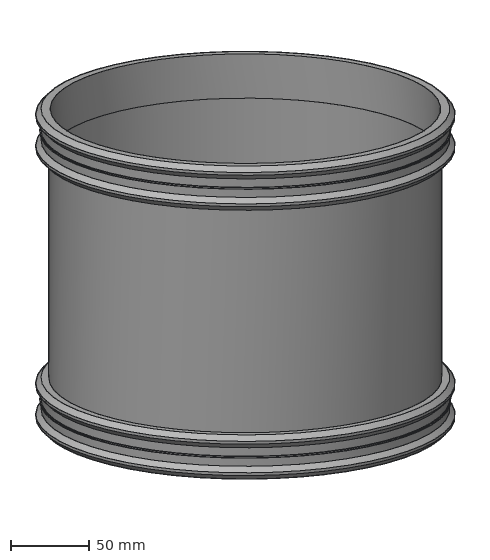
import cadquery as cq

total_height = 208.8
flange_diameter = 268.5
groove_diameter = 261.7
pipe_outer_diameter = 251.8
pipe_inner_diameter = 250.0

flange_height = 29.5
bead_height = 8.5
bead_chamfer = (flange_diameter - groove_diameter) / 2

seam_height = 1.0
seam_projection = 0.8


def tube(outer_diameter, inner_diameter, height):
    """Plain tube standing on Z = 0."""
    return cq.Workplane("XY").circle(outer_diameter / 2).circle(inner_diameter / 2).extrude(height)


def bore():
    """Cylinder that clears the inside of a flange."""
    return cq.Workplane("XY").circle(pipe_inner_diameter / 2).extrude(flange_height)


def bead():
    """Ring with both outer edges chamfered down to the groove diameter."""
    blank = cq.Workplane("XY").circle(flange_diameter / 2).extrude(bead_height)
    return blank.edges("%CIRCLE").chamfer(bead_chamfer).cut(bore())


def flange(base_z):
    """Double-beaded end flange with its lower face at base_z."""
    seam_base = (flange_height - seam_height) / 2
    seam_diameter = groove_diameter + 2 * seam_projection
    ring = tube(groove_diameter, pipe_inner_diameter, flange_height)
    ring = ring.union(tube(seam_diameter, pipe_inner_diameter, seam_height).translate((0, 0, seam_base)))
    for bead_base in (0, flange_height - bead_height):
        ring = ring.union(bead().translate((0, 0, bead_base)))
    return ring.translate((0, 0, base_z))


def flanged_pipe():
    """Thin pipe fixed to the lower flange; it ends at the upper flange."""
    pipe = tube(pipe_outer_diameter, pipe_inner_diameter, total_height - flange_height)
    return flange(0).union(pipe).translate((0, 0, -total_height / 2))


upper_flange = flange(total_height / 2 - flange_height)
lower_flanged_pipe = flanged_pipe()

result = cq.Compound.makeCompound([upper_flange.val(), lower_flanged_pipe.val()])